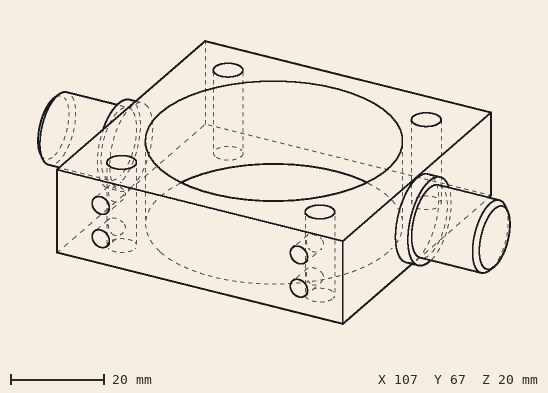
import cadquery as cq

overall_length = 107
body_length = 69.3
body_width = 67.0
body_height = 20.0
bore_diameter = 55.0

collar_diameter = 19.5
collar_length = 3.0
pin_diameter = 16
pin_chamfer = 1.1
pin_length = (overall_length - body_length) / 2 - collar_length

bolt_spacing = 48.0
bolt_hole_diameter = 6.3
side_hole_diameter = 4.2
side_hole_pitch = 8.0
side_hole_depth = (body_width - bolt_spacing) / 2


def make_body():
    return (
        cq.Workplane("XY")
        .box(body_length, body_width, body_height)
        .faces(">Z").workplane()
        .hole(bore_diameter)
        .faces(">Z").workplane()
        .rarray(bolt_spacing, bolt_spacing, 2, 2)
        .hole(bolt_hole_diameter)
    )


def make_trunnion():
    """Collar and chamfered pin on the +X face of the body."""
    collar = (
        cq.Workplane("YZ", origin=(body_length / 2, 0, 0))
        .circle(collar_diameter / 2)
        .extrude(collar_length)
    )
    pin = (
        cq.Workplane("YZ", origin=(body_length / 2 + collar_length, 0, 0))
        .circle(pin_diameter / 2)
        .extrude(pin_length)
        .faces(">X").chamfer(pin_chamfer)
    )
    return collar.union(pin)


def make_side_holes():
    """Cutters from the -Y face to the axes of the bolt holes."""
    return (
        cq.Workplane("XZ", origin=(0, -body_width / 2, 0))
        .rarray(bolt_spacing, side_hole_pitch, 2, 2)
        .circle(side_hole_diameter / 2)
        .extrude(-side_hole_depth)
    )


trunnion = make_trunnion()
result = (
    make_body()
    .union(trunnion)
    .union(trunnion.mirror("YZ"))
    .cut(make_side_holes())
)